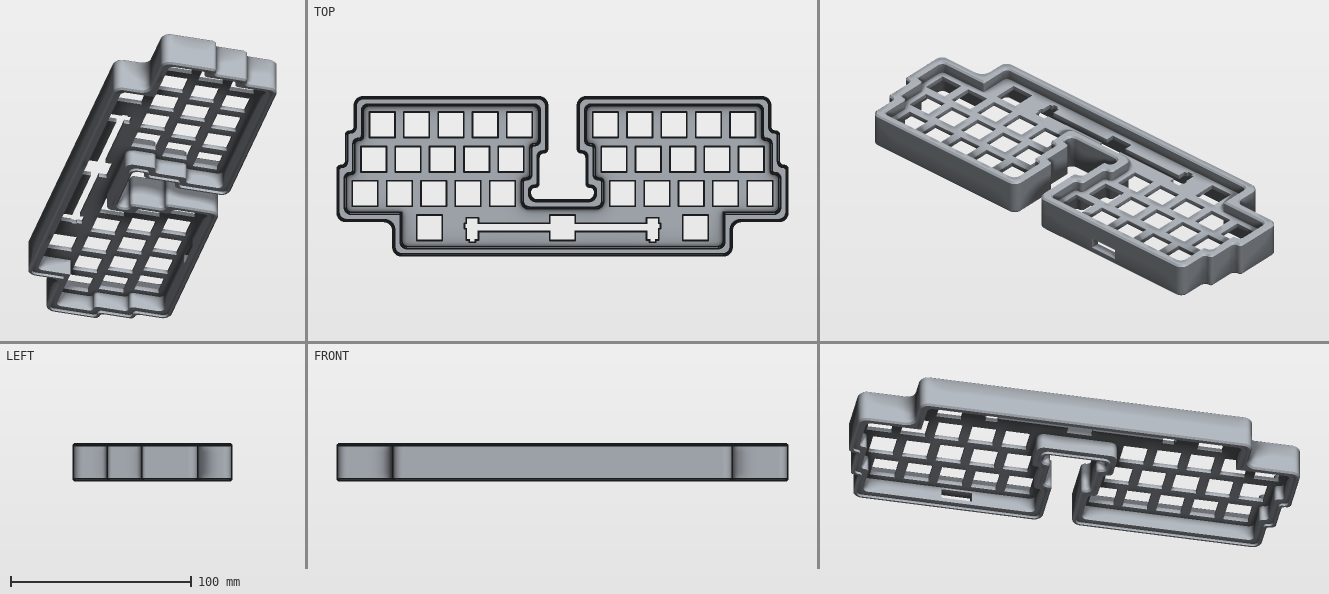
import cadquery as cq
import math

case_length = 250.0
case_height = 20.5
outer_margin = 6.0
inner_margin = 1.0
edge_chamfer = 1.0

keys_across = 12.5
keys_per_row = 5
staggered_rows = 3
key_pitch = (case_length - 2 * outer_margin) / keys_across
stagger = key_pitch / 4
inner_edge = 3 * stagger
side_key_x = 15.5 * stagger
side_key_width = 1.5 * key_pitch
top_row_y = 1.5 * key_pitch
bottom_row_y = -1.5 * key_pitch
switch_size = 14.0

corner_radius = 5.0
step_radius = stagger / 2 - 0.13
notch_radius = 3.5
pocket_radius = 3.0
pocket_notch_radius = 4.3

plate_top = 13.8
plate_thickness = 2.5
plate_bottom = plate_top - plate_thickness

cover_margin = 4.0
cover_depth = 1.5

port_x = -3 * key_pitch
port_width = 17.0
port_bottom = 4.0
port_top = 10.0

stabilizer_x = 50.0
stabilizer_width = 6.8
stabilizer_top = 5.5
stabilizer_bottom = -6.8
foot_width = 3.3
foot_bottom = -8.0
ear_reach = 4.3
ear_top = 2.5
ear_bottom = -0.5
wire_top = 2.5
wire_bottom = -2.0


def rounded_outline(corners):
    """Closed loop through square (x, y, radius) corners; a zero radius stays sharp."""
    loop = None
    count = len(corners)
    for i, (x, y, radius) in enumerate(corners):
        corner = cq.Vector(x, y)
        before = cq.Vector(*corners[i - 1][:2])
        after = cq.Vector(*corners[(i + 1) % count][:2])
        to_before = (before - corner).normalized()
        to_after = (after - corner).normalized()
        start = corner + to_before * radius
        end = corner + to_after * radius
        middle = corner + (to_before + to_after) * (radius * (1 - math.sqrt(0.5)))
        if loop is None:
            loop = cq.Workplane("XY").moveTo(start.x, start.y)
        else:
            loop = loop.lineTo(start.x, start.y)
        if radius > 0:
            loop = loop.threePointArc((middle.x, middle.y), (end.x, end.y))
    return loop.close()


def case_outline(margin, convex, notch, reentrant):
    """Outline of the key block pushed outwards by the margin, with its corner radii."""
    top_end = inner_edge + keys_per_row * key_pitch
    bottom_end = side_key_x + side_key_width / 2
    right_half = [
        (inner_edge + 2 * stagger - margin, margin - key_pitch, notch),
        (inner_edge + 2 * stagger - margin, -margin, step_radius),
        (inner_edge + stagger - margin, -margin, step_radius),
        (inner_edge + stagger - margin, key_pitch - margin, step_radius),
        (inner_edge - margin, key_pitch - margin, step_radius),
        (inner_edge - margin, 2 * key_pitch + margin, convex),
        (top_end + margin, 2 * key_pitch + margin, convex),
        (top_end + margin, key_pitch + margin, step_radius),
        (top_end + stagger + margin, key_pitch + margin, step_radius),
        (top_end + stagger + margin, margin, step_radius),
        (top_end + 2 * stagger + margin, margin, step_radius),
        (top_end + 2 * stagger + margin, -key_pitch - margin, convex),
        (bottom_end + margin, -key_pitch - margin, reentrant),
        (bottom_end + margin, -2 * key_pitch - margin, convex),
    ]
    left_half = [(-x, y, radius) for x, y, radius in reversed(right_half)]
    return rounded_outline(right_half + left_half)


def cavity_outline(margin):
    return case_outline(margin, pocket_radius, pocket_notch_radius, 0)


def box(x_min, x_max, y_min, y_max, z_min=0, z_max=case_height):
    """Block between the given limits, through the full height by default."""
    size = (x_max - x_min, y_max - y_min, z_max - z_min)
    return cq.Workplane("XY").box(*size, centered=False).translate((x_min, y_min, z_min))


def make_wall():
    """Ring-shaped wall with chamfered rims and a recess for the bottom cover."""
    outside = case_outline(outer_margin, corner_radius, notch_radius, corner_radius)
    wall = outside.extrude(case_height).faces("<Z").edges().chamfer(edge_chamfer)
    wall = wall.cut(cavity_outline(inner_margin).extrude(case_height))
    wall = wall.faces(">Z").edges().chamfer(edge_chamfer)
    return wall.cut(cavity_outline(cover_margin).extrude(cover_depth))


def port_cutter():
    """Rectangular opening through the back wall."""
    wall_y = 2 * key_pitch
    half_width = port_width / 2
    return box(
        port_x - half_width, port_x + half_width, wall_y, wall_y + outer_margin, port_bottom, port_top
    )


def switch_cutter():
    """Square openings for all key switches."""
    centres = [(0, bottom_row_y)]
    for side in (-1, 1):
        centres.append((side * side_key_x, bottom_row_y))
        for row in range(staggered_rows):
            for column in range(keys_per_row):
                x = inner_edge + row * stagger + (column + 0.5) * key_pitch
                centres.append((side * x, top_row_y - row * key_pitch))
    return cq.Workplane("XY").pushPoints(centres).rect(switch_size, switch_size).extrude(case_height)


def stabilizer_cutter():
    """Two stabilizer openings joined by the slot for their wire."""
    y = bottom_row_y
    half_width = stabilizer_width / 2
    half_foot = foot_width / 2
    cutter = box(-stabilizer_x, stabilizer_x, y + wire_bottom, y + wire_top)
    for x, side in ((-stabilizer_x, -1), (stabilizer_x, 1)):
        tip = x + side * ear_reach
        body = box(x - half_width, x + half_width, y + stabilizer_bottom, y + stabilizer_top)
        foot = box(x - half_foot, x + half_foot, y + foot_bottom, y)
        ear = box(min(x, tip), max(x, tip), y + ear_bottom, y + ear_top)
        cutter = cutter.union(body).union(foot).union(ear)
    return cutter


def make_plate():
    """Key plate filling the inside of the wall, with its openings."""
    plate = cavity_outline(inner_margin).extrude(plate_thickness).translate((0, 0, plate_bottom))
    return plate.cut(switch_cutter()).cut(stabilizer_cutter())


result = make_wall().cut(port_cutter()).union(make_plate())